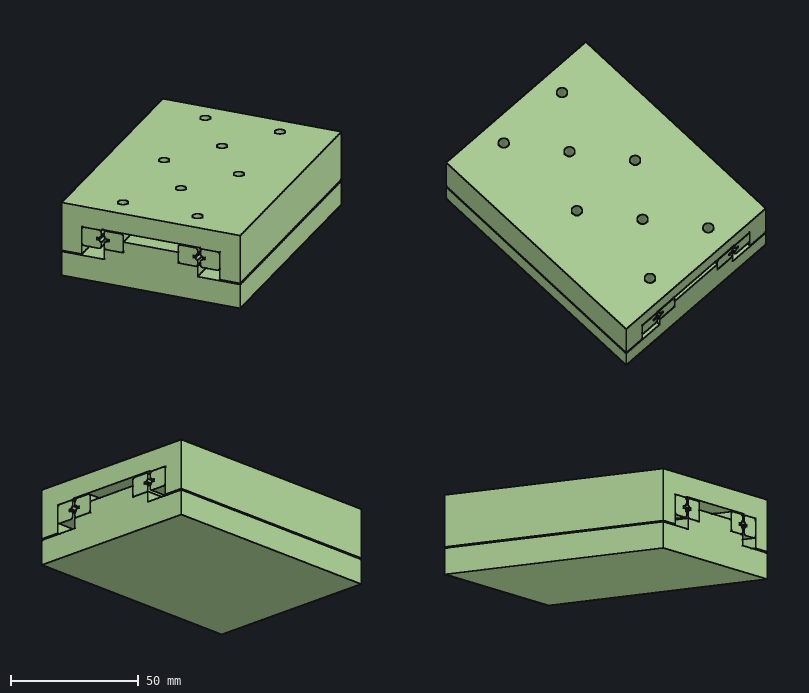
import cadquery as cq

LENGTH = 101.6
WIDTH = 76.2
HEIGHT = 31.8

RAIL_HEIGHT = 8.0
RAIL_WIDTH = 8.2
RAIL_GAP = 1.2
RAIL_BOTTOM_Z = 14.8
RAIL_TOP_Z = RAIL_BOTTOM_Z + RAIL_HEIGHT
RAIL_FILLET = 1.0
GROOVE_MOUTH = 2.7
RELIEF_HEIGHT = 0.8
RELIEF_DEPTH = 1.9
V_DEPTH = (GROOVE_MOUTH - RELIEF_HEIGHT) / 2

BASE_LEDGE_Z = 10.5
BOSS_TOP_Z = 19.5
SEAT_HALF_WIDTH = 11.7

INNER_FACE_X = SEAT_HALF_WIDTH + RAIL_WIDTH
OUTER_FACE_X = INNER_FACE_X + RAIL_GAP
TABLE_WALL_X = OUTER_FACE_X + RAIL_WIDTH

TABLE_GAP = 0.5
TABLE_BOTTOM_Z = BASE_LEDGE_Z + TABLE_GAP
CEILING_RELIEF = 0.4
CEILING_Z = RAIL_TOP_Z + CEILING_RELIEF
RELIEF_OVERLAP = 0.3
CEILING_HALF_WIDTH = OUTER_FACE_X - RELIEF_OVERLAP

HOLE_DIAMETER = 4.2
HOLE_PITCH_X = 31.8
HOLE_PITCH_Y = 41.3


def bar(outline):
    """Extrude an XZ outline over the full length."""
    return cq.Workplane("XZ").polyline(outline).close().extrude(LENGTH / 2, both=True)


def mirrored(right_half):
    """Complete a symmetric outline from its +X half."""
    return right_half + [(-x, z) for x, z in reversed(right_half)]


def make_base():
    return bar(mirrored([
        (WIDTH / 2, 0),
        (WIDTH / 2, BASE_LEDGE_Z),
        (INNER_FACE_X, BASE_LEDGE_Z),
        (INNER_FACE_X, RAIL_BOTTOM_Z),
        (SEAT_HALF_WIDTH, RAIL_BOTTOM_Z),
        (SEAT_HALF_WIDTH, BOSS_TOP_Z),
    ]))


def hole_points():
    """Three rows of two holes, with a single hole midway between neighbouring rows."""
    pairs = [(side * HOLE_PITCH_X / 2, row * HOLE_PITCH_Y) for side in (-1, 1) for row in (-1, 0, 1)]
    singles = [(0, side * HOLE_PITCH_Y / 2) for side in (-1, 1)]
    return pairs + singles


def make_table():
    table = bar(mirrored([
        (CEILING_HALF_WIDTH, CEILING_Z),
        (CEILING_HALF_WIDTH, RAIL_TOP_Z),
        (TABLE_WALL_X, RAIL_TOP_Z),
        (TABLE_WALL_X, TABLE_BOTTOM_Z),
        (WIDTH / 2, TABLE_BOTTOM_Z),
        (WIDTH / 2, HEIGHT),
    ]))
    holes = (
        cq.Workplane("XY")
        .workplane(offset=CEILING_Z)
        .pushPoints(hole_points())
        .circle(HOLE_DIAMETER / 2)
        .extrude(HEIGHT - CEILING_Z)
    )
    return table.cut(holes)


def make_rail(face_x, inward):
    """Rail whose grooved face lies at face_x; inward (+1 or -1) points from that face into the rail."""
    middle_z = RAIL_BOTTOM_Z + RAIL_HEIGHT / 2
    body = (
        cq.Workplane("XY")
        .box(RAIL_WIDTH, LENGTH, RAIL_HEIGHT)
        .edges("|Y")
        .fillet(RAIL_FILLET)
        .translate((face_x + inward * RAIL_WIDTH / 2, 0, middle_z))
    )
    profile = [(0, GROOVE_MOUTH / 2), (V_DEPTH, RELIEF_HEIGHT / 2), (RELIEF_DEPTH, RELIEF_HEIGHT / 2)]
    profile += [(depth, -rise) for depth, rise in reversed(profile)]
    groove = bar([(face_x + inward * depth, middle_z + rise) for depth, rise in profile])
    return body.cut(groove)


base = make_base()
table = make_table()
rails = []
for side in (-1, 1):
    rails.append(make_rail(side * INNER_FACE_X, -side))
    rails.append(make_rail(side * OUTER_FACE_X, side))

result = cq.Compound.makeCompound([base.val(), table.val(), *[rail.val() for rail in rails]])